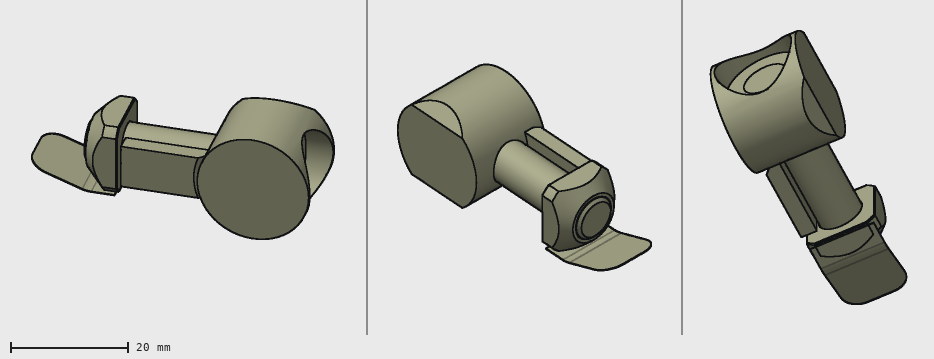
import cadquery as cq
import math


overall_length = 50.4

barrel_diameter = 19.7
barrel_length = 16.0
barrel_chamfer = 2.3
recess_diameter = 14.5
recess_floor_x = 5.05
key_start_x = -23.65
key_thickness = 2.95
key_chamfer = 0.9

rod_diameter = 8.0
rod_tip_diameter = 6.8
rod_end_x = -31.15

nut_width = 12.95
nut_length = 6.0
nut_front_x = -30.5
nut_front_diameter = 9.6
nut_corner_diameter = 16.35
nut_hole_diameter = 8.2
nut_back_chamfer = 0.2

spring_width = 12.05
spring_thickness = 0.15
spring_back_x = -25.05
spring_bend_x = -29.25
spring_angle = math.radians(19.2)
spring_bend_radius = 4.8
spring_corner_radius = 3.55

barrel_radius = barrel_diameter / 2
rod_radius = rod_diameter / 2
spring_tip_x = barrel_radius - overall_length


def cylinder_x(diameter, start_x, end_x):
    """Cylinder on the rod axis between two X positions."""
    return cq.Workplane("YZ", origin=(start_x, 0, 0)).circle(diameter / 2).extrude(end_x - start_x)


def cylinder_y(radius, start_y, end_y):
    """Cylinder on the barrel axis between two Y positions."""
    return cq.Workplane("XZ", origin=(0, start_y, 0)).circle(radius).extrude(start_y - end_y)


def make_key():
    """Flat bar along the -Y side of the rod, up to the barrel, with a bevelled outer end."""
    inner_y = -rod_radius
    outer_y = inner_y - key_thickness
    bar = cq.Workplane("XY").box(
        -key_start_x, key_thickness, rod_diameter, centered=False
    ).translate((key_start_x, outer_y, -rod_radius))
    bevel = (
        cq.Workplane("XY")
        .moveTo(0, outer_y)
        .lineTo(barrel_radius + key_chamfer, outer_y)
        .lineTo(barrel_radius, outer_y + key_chamfer)
        .lineTo(0, outer_y + key_chamfer)
        .close()
        .revolve(360, (0, 0, 0), (0, 1, 0))
    )
    return bar.cut(bevel)


def make_barrel():
    """Barrel with a chamfered +Y end, a key bar, a hole for the rod and a round recess on its +X side."""
    end_y = barrel_length / 2
    side_profile = (
        cq.Workplane("YZ", origin=(-barrel_radius, 0, 0))
        .moveTo(-end_y, -barrel_radius)
        .lineTo(end_y - barrel_chamfer, -barrel_radius)
        .lineTo(end_y, barrel_chamfer - barrel_radius)
        .lineTo(end_y, barrel_radius - barrel_chamfer)
        .lineTo(end_y - barrel_chamfer, barrel_radius)
        .lineTo(-end_y, barrel_radius)
        .close()
        .extrude(barrel_diameter)
    )
    round_barrel = cylinder_y(barrel_radius, -end_y, end_y).intersect(side_profile)
    recess = cylinder_x(recess_diameter, recess_floor_x, barrel_radius)
    rod_hole = cylinder_x(rod_diameter, -barrel_radius, recess_floor_x)
    return round_barrel.union(make_key()).cut(recess).cut(rod_hole)


def make_rod():
    """Plain rod with a chamfered tip, ending flush with the floor of the barrel recess."""
    tip_chamfer = (rod_diameter - rod_tip_diameter) / 2
    return cylinder_x(rod_diameter, rod_end_x, recess_floor_x).faces("<X").chamfer(tip_chamfer)


def make_nut():
    """Square nut with turned corners, a 45 degree cone at the front and a clearance hole."""
    back_x = nut_front_x + nut_length
    front_radius = nut_front_diameter / 2
    corner_radius = nut_corner_diameter / 2
    cone_length = corner_radius - front_radius
    turned = (
        cq.Workplane("XY")
        .moveTo(nut_front_x, 0)
        .lineTo(nut_front_x, front_radius)
        .lineTo(nut_front_x + cone_length, corner_radius)
        .lineTo(back_x, corner_radius)
        .lineTo(back_x, 0)
        .close()
        .revolve(360, (0, 0, 0), (1, 0, 0))
    )
    square = cq.Workplane("YZ", origin=(nut_front_x, 0, 0)).rect(nut_width, nut_width).extrude(nut_length)
    blank = turned.intersect(square).faces(">X").chamfer(nut_back_chamfer)
    return blank.cut(cylinder_x(nut_hole_diameter, nut_front_x, back_x))


def make_spring():
    """Thin leaf under the nut, bent up towards a free end with rounded corners."""
    top_z = -nut_width / 2
    centre_z = top_z + spring_bend_radius
    outer_radius = spring_bend_radius + spring_thickness

    def on_bend(radius, angle):
        return (spring_bend_x - radius * math.sin(angle), centre_z - radius * math.cos(angle))

    upper_x, upper_z = on_bend(spring_bend_radius, spring_angle)
    lower_x, lower_z = on_bend(outer_radius, spring_angle)
    run = lower_x - spring_tip_x
    rise = run * math.tan(spring_angle)
    leaf = (
        cq.Workplane("XZ", origin=(0, spring_width / 2, 0))
        .moveTo(spring_back_x, top_z)
        .lineTo(spring_bend_x, top_z)
        .threePointArc(on_bend(spring_bend_radius, spring_angle / 2), (upper_x, upper_z))
        .lineTo(upper_x - run, upper_z + rise)
        .lineTo(lower_x - run, lower_z + rise)
        .lineTo(lower_x, lower_z)
        .threePointArc(on_bend(outer_radius, spring_angle / 2), (spring_bend_x, top_z - spring_thickness))
        .lineTo(spring_back_x, top_z - spring_thickness)
        .close()
        .extrude(spring_width)
    )
    return leaf.faces("<X").edges("not |Y").fillet(spring_corner_radius)


barrel = make_barrel()
rod = make_rod()
nut = make_nut()
spring = make_spring()

result = cq.Compound.makeCompound([
    barrel.solids().val(),
    rod.solids().val(),
    nut.solids().val(),
    spring.solids().val(),
])